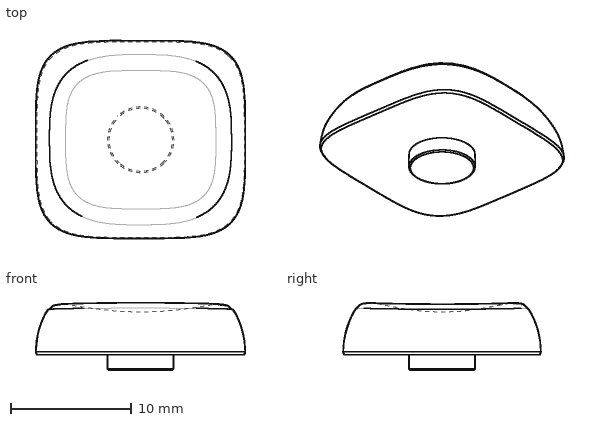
import cadquery as cq
import math

length = 17.47
width = 16.5
height = 5.65

stem_diameter = 5.5
stem_height = 1.3
stem_edge = 0.12

skirt_edge_height = 0.25
skirt_edge_inset = 0.1

rim_inset = 1.15
rim_drop = 0.44
rim_dip = 0.12

dish_inset = 2.48
dish_depth = 0.65

skirt_exponent = 4.3
rim_exponent = 3.0
dish_exponent = 3.6

wall_stations = [(0.21, 3.15, 4.0), (0.58, 4.23, 3.6), (0.9, 4.9, 3.2)]
crown_stations = [(1.35, 5.42, 3.1), (1.59, 5.55, 3.2), (2.01, 5.63, 3.4)]

outline_points = 48
sew_tolerance = 0.01

skirt_z = stem_height + skirt_edge_height
rim_z = height - rim_drop


def superellipse_wire(inset, z, exponent, dip=0.0):
    """Closed rounded-square wire, sagging by dip towards both X ends."""
    half_x = length / 2 - inset
    half_y = width / 2 - inset
    points = []
    for i in range(outline_points):
        angle = 2 * math.pi * i / outline_points
        c = math.cos(angle)
        s = math.sin(angle)
        radius = (abs(c) ** exponent + abs(s) ** exponent) ** (-1 / exponent)
        points.append(cq.Vector(half_x * radius * c, half_y * radius * s, z - dip * c**2))
    return cq.Wire.assembleEdges([cq.Edge.makeSpline(points, periodic=True)])


def side_faces(wires, ruled=False):
    """Lofted side faces without end caps."""
    return cq.occ_impl.shapes.loft(*wires, ruled=ruled, cap=False).Faces()


def make_cap():
    """Solid cap: bevelled skirt, curved wall, rounded crown and concave dish."""
    bottom = superellipse_wire(skirt_edge_inset, stem_height, skirt_exponent)
    skirt = superellipse_wire(0, skirt_z, skirt_exponent)
    rim = superellipse_wire(rim_inset, rim_z, rim_exponent, rim_dip)
    dish_edge = superellipse_wire(dish_inset, height, dish_exponent, rim_dip)

    wall = [superellipse_wire(*station) for station in wall_stations]
    crown = [superellipse_wire(*station, rim_dip) for station in crown_stations]

    dish_bottom = cq.Vector(0, 0, height - rim_dip - dish_depth)
    dish = cq.Face.makeNSidedSurface(dish_edge.Edges(), [dish_bottom])

    faces = [cq.Face.makeFromWires(bottom), dish]
    faces += side_faces([bottom, skirt], ruled=True)
    faces += side_faces([skirt, *wall, rim])
    faces += side_faces([rim, *crown, dish_edge])
    shell = cq.occ_impl.shapes.shell(*faces, tol=sew_tolerance)
    return cq.Workplane(cq.occ_impl.shapes.solid(shell))


def make_stem():
    """Round stem with a bevelled foot, sunk a little into the cap."""
    return (
        cq.Workplane()
        .circle(stem_diameter / 2)
        .extrude(skirt_z)
        .faces("<Z")
        .chamfer(stem_edge)
    )


result = cq.Workplane(make_cap().union(make_stem()).solids().val())